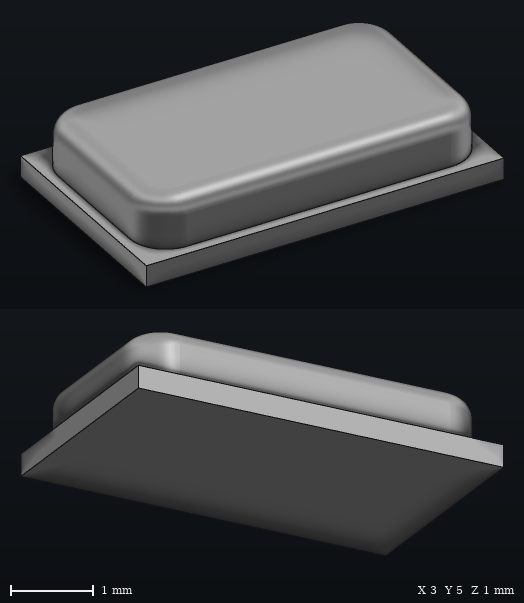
import cadquery as cq

base_width = 3.0
base_length = 5.0
base_height = 0.3

total_height = 1.0
lid_inset = 0.15
lid_corner_radius = 0.5
lid_top_fillet = 0.25

lid_width = base_width - 2 * lid_inset
lid_length = base_length - 2 * lid_inset
lid_height = total_height - base_height


def make_base():
    """Flat rectangular plate resting on Z = 0."""
    return cq.Workplane("XY").box(base_width, base_length, base_height, centered=(True, True, False))


def make_lid():
    """Block on top of the plate with rounded corners and a rounded top rim."""
    block = (
        cq.Workplane("XY")
        .workplane(offset=base_height)
        .rect(lid_width, lid_length)
        .extrude(lid_height)
    )
    rounded = block.edges("|Z").fillet(lid_corner_radius)
    return rounded.faces(">Z").edges().fillet(lid_top_fillet)


result = make_base().union(make_lid())